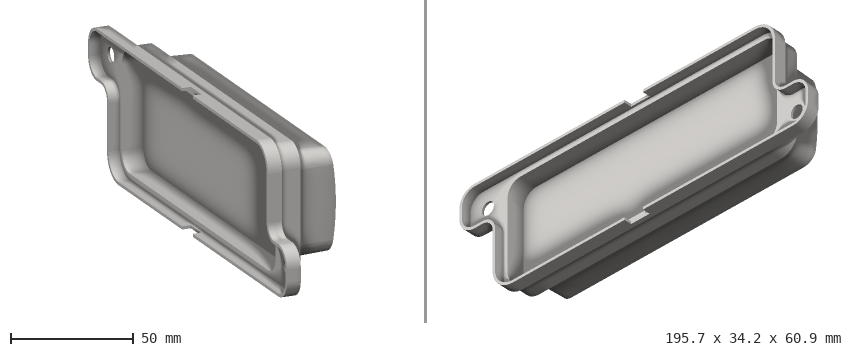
import cadquery as cq
import math

total_length = 195.7
total_depth = 34.2
total_height = 60.9

body_length = 158.5
body_radius = 11.4
ear_height = 22.5
ear_radius = 8.5
neck_radius = 5.9
flange_depth = 6.3
rim_wall = 1.4
recess_depth = 5.0
hole_diameter = 6.7
hole_inset = 11.2

notch_width = 10.4
notch_depth = 4.0

step_inset = 2.3
step_depth = 9.4

crown_length = 143.3
crown_height = 45.8
crown_radius = 6.7
crown_taper = 2.2
crown_sag = 2.3

pocket_length = 151.3
pocket_height = 52.5
pocket_radius = 7.2
pocket_floor = 14.7

front_y = -total_depth / 2
flange_back_y = front_y + flange_depth
step_back_y = flange_back_y + step_depth
back_y = total_depth / 2


def section(y):
    """Sketch plane at depth y: local x is +X, local y is +Z, normal is -Y."""
    return cq.Workplane("XZ", origin=(0, y, 0))


def rounded_block(length, height, radius, start_y, depth, taper=0):
    """Rounded rectangle extruded toward +Y, shrinking by the taper angle."""
    outline = cq.Sketch().rect(length, height).vertices().fillet(radius)
    return section(start_y).placeSketch(outline).extrude(-depth, taper=taper)


def flange_prism(inset, depth):
    """Flange outline, moved inward by inset, extruded from the front face."""
    half_length = total_length / 2 - inset
    half_body = body_length / 2 - inset
    half_height = total_height / 2 - inset
    ear_edge = total_height / 2 - ear_height + inset
    ear_r = ear_radius - inset
    body_r = body_radius - inset
    neck_r = neck_radius + inset
    diagonal = 1 - math.sqrt(0.5)

    outline = section(front_y).moveTo(half_body, half_height - body_r)
    for side in (1, -1):
        def at(x, z):
            return (side * x, side * z)

        outline = (
            outline.lineTo(*at(half_body, -ear_edge + neck_r))
            .threePointArc(
                at(half_body + diagonal * neck_r, -ear_edge + diagonal * neck_r),
                at(half_body + neck_r, -ear_edge),
            )
            .lineTo(*at(half_length - ear_r, -ear_edge))
            .threePointArc(
                at(half_length - diagonal * ear_r, -ear_edge - diagonal * ear_r),
                at(half_length, -ear_edge - ear_r),
            )
            .lineTo(*at(half_length, -half_height + ear_r))
            .threePointArc(
                at(half_length - diagonal * ear_r, -half_height + diagonal * ear_r),
                at(half_length - ear_r, -half_height),
            )
            .lineTo(*at(-half_body + body_r, -half_height))
            .threePointArc(
                at(-half_body + diagonal * body_r, -half_height + diagonal * body_r),
                at(-half_body, -half_height + body_r),
            )
        )
    return outline.close().extrude(-depth)


def crown_block():
    """Tapered block whose back face is a shallow arc along the height."""
    block = rounded_block(
        crown_length, crown_height, crown_radius,
        step_back_y, back_y - step_back_y, crown_taper,
    )
    half_height = crown_height / 2
    back_profile = (
        cq.Workplane("YZ")
        .moveTo(step_back_y, -half_height)
        .lineTo(back_y - crown_sag, -half_height)
        .threePointArc((back_y, 0), (back_y - crown_sag, half_height))
        .lineTo(step_back_y, half_height)
        .close()
        .extrude(crown_length / 2, both=True)
    )
    return block.intersect(back_profile)


def mounting_holes():
    hole_x = total_length / 2 - hole_inset
    hole_z = total_height / 2 - hole_inset
    return (
        section(front_y)
        .pushPoints([(-hole_x, hole_z), (hole_x, -hole_z)])
        .circle(hole_diameter / 2)
        .extrude(-flange_depth)
    )


flange = flange_prism(0, flange_depth)
step = rounded_block(
    body_length - 2 * step_inset, total_height - 2 * step_inset,
    body_radius - step_inset, flange_back_y, step_depth,
)
recess = flange_prism(rim_wall, recess_depth)
pocket = rounded_block(pocket_length, pocket_height, pocket_radius, front_y, pocket_floor)
notches = cq.Workplane("XY").box(notch_width, notch_depth, total_height)
notches = notches.translate((0, front_y + notch_depth / 2, 0))

result = flange.union(step).union(crown_block())
result = result.cut(recess).cut(pocket).cut(mounting_holes()).cut(notches)